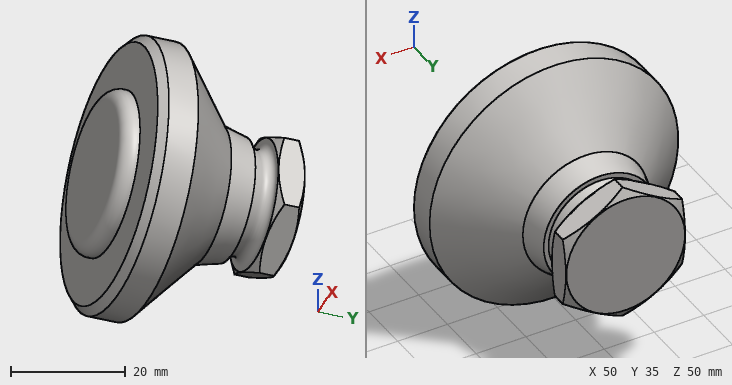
import cadquery as cq
import math

flange_front = 3.0
rim_start = 4.5
rim_end = 10.0
cone_end = 21.0
collar_end = 26.0
hex_start = 30.0
total_length = 35.0

rim_radius = 25.0
flange_face_radius = 23.5
collar_base_radius = 12.6
collar_top_radius = 11.3

pad_radius = 15.0
pad_rounding = 2.5

neck_head_radius = 11.0
neck_fillet = 1.5
neck_half_angle = math.radians(20)

hex_across_flats = 24.0
hex_across_corners = hex_across_flats / math.cos(math.radians(30))
hex_face_radius = 11.9
hex_chamfer_angle = math.radians(30)


def revolve_about_y(profile):
    """Turn a closed XY profile, drawn at X >= 0, about the Y axis."""
    return profile.close().revolve(360, (0, 0, 0), (0, 1, 0))


def make_base():
    """Rounded pad, chamfered flange, cone and collar."""
    pad_corner_offset = pad_rounding * (1 - math.sqrt(0.5))
    profile = (
        cq.Workplane("XY")
        .moveTo(0, 0)
        .lineTo(pad_radius - pad_rounding, 0)
        .threePointArc((pad_radius - pad_corner_offset, pad_corner_offset), (pad_radius, pad_rounding))
        .lineTo(pad_radius, flange_front)
        .lineTo(flange_face_radius, flange_front)
        .lineTo(rim_radius, rim_start)
        .lineTo(rim_radius, rim_end)
        .lineTo(collar_base_radius, cone_end)
        .lineTo(collar_top_radius, collar_end)
        .lineTo(0, collar_end)
    )
    return revolve_about_y(profile)


def make_neck():
    """Tapered neck between the collar and the hexagon."""
    fillet_center_y = hex_start - neck_fillet

    def fillet_point(angle):
        """Point on the fillet; the angle is measured from its narrowest point toward the hexagon."""
        return (
            neck_head_radius - neck_fillet * math.cos(angle),
            fillet_center_y + neck_fillet * math.sin(angle),
        )

    tangent_x, tangent_y = fillet_point(-neck_half_angle)
    base_radius = tangent_x + (tangent_y - collar_end) * math.tan(neck_half_angle)
    profile = (
        cq.Workplane("XY")
        .moveTo(0, collar_end)
        .lineTo(base_radius, collar_end)
        .lineTo(tangent_x, tangent_y)
        .threePointArc(fillet_point(math.radians(30)), (neck_head_radius, hex_start))
        .lineTo(0, hex_start)
    )
    return revolve_about_y(profile)


def make_hexagon():
    """Hexagon with corners on +Z and -Z, its corners chamfered at both ends."""
    prism = (
        cq.Workplane("XZ", origin=(0, hex_start, 0))
        .transformed(rotate=(0, 0, 90))
        .polygon(6, hex_across_corners)
        .extrude(hex_start - total_length)
    )
    corner_radius = hex_across_corners / 2
    chamfer_length = (corner_radius - hex_face_radius) * math.tan(hex_chamfer_angle)
    envelope = (
        cq.Workplane("XY")
        .moveTo(0, hex_start)
        .lineTo(hex_face_radius, hex_start)
        .lineTo(corner_radius, hex_start + chamfer_length)
        .lineTo(corner_radius, total_length - chamfer_length)
        .lineTo(hex_face_radius, total_length)
        .lineTo(0, total_length)
    )
    return prism.intersect(revolve_about_y(envelope))


result = make_base().union(make_neck()).union(make_hexagon()).translate((0, -total_length / 2, 0))